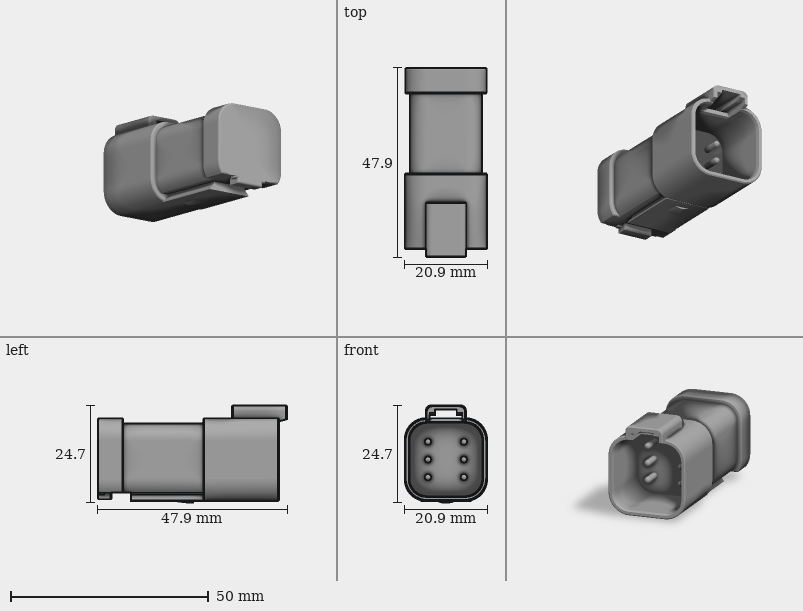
import cadquery as cq
import math


shell_width = 20.9
shell_height = 21.0
shell_corner_radius = 5.6
shell_length = 19.2
shell_edge_chamfer = 0.3
shell_top = shell_height / 2
shell_bottom = -shell_height / 2

wall_thickness = 1.25
cavity_top = shell_top - wall_thickness
cavity_depth = 17.0
lead_in_width = 0.25
lead_in_depth = 0.9
lead_in_blend = 1.0

pin_diameter = 1.6
pin_column_spacing = 9.1
pin_row_pitch = 4.48
pin_columns = 2
pin_rows = 3
pin_tip_y = 11.6

neck_size = 18.3
neck_corner_radius = 4.3
neck_fillet = 0.3

flange_width = 20.7
flange_height = 20.9
flange_corner_radius = 5.3
flange_length = 6.5
flange_rear_fillet = 0.5
flange_front_chamfer = 0.3
rear_y = 45.9
flange_front_y = rear_y - flange_length
flat_z = -8.4

hood_width = 10.2
hood_top = 13.72
hood_front_y = -2.0
hood_rear_y = 11.95
hood_corner_radius = 1.5
hood_end_chamfer = 0.3
hood_wall = 1.0
hood_roof = 1.1
hood_inner_width = hood_width - 2 * hood_wall
hood_lip_z = 10.2
hood_lip_slope = 0.28
shoulder_gap = 5.4
shoulder_front_z = 11.85
shoulder_z = 11.25
slot_end_y = 6.0

rail_width = 12.6
rail_rear_y = 37.5
rail_bottom = shell_bottom - 0.05
rail_edge = 0.25
rail_undercut = 1.35

bump_height = 0.41
bump_radius = 5.0
bump_front_y = 21.7
bump_flat = 1.1
bump_length = 4.4

tab_width = 8.0
tab_front_y = 42.4
tab_bottom = -10.1
tab_chamfer = 0.3
foot_width = 10.0
foot_length = 1.7
foot_bottom = -8.85


def rounded_bar(width, height, radius, y_start, y_end):
    """Bar along Y with a rounded rectangular section."""
    bar = cq.Workplane("XZ", origin=(0, y_start, 0)).rect(width, height).extrude(y_start - y_end)
    return bar.edges("|Y").fillet(radius)


def box(x_size, y_start, y_end, z_start, z_end):
    """Box centred on X = 0."""
    corner = (-x_size / 2, y_start, z_start)
    return cq.Workplane("XY", origin=corner).box(x_size, y_end - y_start, z_end - z_start, centered=False)


def truncate_underside(body):
    """Cut the body flat below the level of the underside flat."""
    return body.cut(box(2 * shell_width, 0, 2 * rear_y, 2 * shell_bottom, flat_z))


def side_prism(points, width):
    """Prism centred on X = 0 with its outline given as (y, z) points."""
    return cq.Workplane("YZ").polyline(points).close().extrude(width / 2, both=True)


def make_shell():
    shell = rounded_bar(shell_width, shell_height, shell_corner_radius, 0, shell_length)
    return shell.faces("<Y or >Y").chamfer(shell_edge_chamfer)


def make_neck():
    """Truncated bar that flares with a fillet where it meets the rear face of the shell."""
    neck = rounded_bar(neck_size, neck_size, neck_corner_radius, shell_length, rear_y)
    plate = box(2 * shell_width, 0, shell_length, -shell_width, shell_width)
    reach = shell_width / 2
    root_edges = cq.selectors.BoxSelector(
        (-reach, shell_length - neck_fillet, -reach),
        (reach, shell_length + neck_fillet, reach),
    )
    neck = neck.union(plate).edges(root_edges).fillet(neck_fillet)
    return truncate_underside(neck.cut(plate))


def make_flange():
    """Truncated flange with a tab and a low foot below it."""
    flange = rounded_bar(flange_width, flange_height, flange_corner_radius, flange_front_y, rear_y)
    flange = truncate_underside(flange)
    tab = box(tab_width, tab_front_y, rear_y, tab_bottom, 0)
    tab = tab.faces("<Y").chamfer(tab_chamfer)
    foot = box(foot_width, rear_y - foot_length, rear_y, foot_bottom, 0)
    flange = flange.union(tab).union(foot)
    flange = flange.faces(">Y").edges().fillet(flange_rear_fillet)
    front_edges = flange.faces(cq.selectors.NearestToPointSelector((0, flange_front_y, 0))).edges()
    return front_edges.chamfer(flange_front_chamfer)


def sloped_relief(front_z, lowest_z, width):
    """Cutter below a ramp that descends from the hood front until it reaches the lowest level."""
    ramp_end_y = hood_front_y + (front_z - lowest_z) / hood_lip_slope
    floor_z = lowest_z - hood_wall
    points = [
        (hood_front_y, front_z),
        (ramp_end_y, lowest_z),
        (ramp_end_y, floor_z),
        (hood_front_y, floor_z),
    ]
    return side_prism(points, width)


def make_hood():
    """Outer form of the hood, with side walls that slope down into the shell."""
    hood = box(hood_width, hood_front_y, hood_rear_y, cavity_top, hood_top)
    hood = hood.edges("|Y and >Z").fillet(hood_corner_radius)
    hood = hood.faces("<Y or >Y").chamfer(hood_end_chamfer)
    return hood.cut(sloped_relief(hood_lip_z, cavity_top, hood_width))


def make_hood_tunnel():
    """Passage under the hood roof, with a shoulder along each upper corner."""
    passage = box(hood_inner_width, hood_front_y, hood_rear_y, shell_top, shoulder_z)
    channel = box(shoulder_gap, hood_front_y, hood_rear_y, shell_top, hood_top - hood_roof)
    ramps = sloped_relief(shoulder_front_z, shoulder_z, hood_inner_width)
    return passage.union(channel).union(ramps)


def make_slot():
    """Notch in the shell wall below the hood, chamfered into the cavity at its inner end."""
    points = [
        (hood_front_y, shell_top),
        (slot_end_y, shell_top),
        (slot_end_y, cavity_top + lead_in_width),
        (slot_end_y + lead_in_depth, cavity_top),
        (hood_front_y, cavity_top),
    ]
    return side_prism(points, hood_inner_width)


def make_cavity():
    """Cavity cutter with a tapered lead-in that blends into its walls."""
    width = shell_width - 2 * wall_thickness
    height = shell_height - 2 * wall_thickness
    radius = shell_corner_radius - wall_thickness
    cavity = rounded_bar(width, height, radius, 0, cavity_depth)
    lead_in_angle = math.degrees(math.atan2(lead_in_width, lead_in_depth))
    sketch = cq.Sketch().rect(width + 2 * lead_in_width, height + 2 * lead_in_width)
    sketch = sketch.vertices().fillet(radius + lead_in_width)
    mouth = cq.Workplane("XZ").placeSketch(sketch).extrude(-lead_in_depth, taper=lead_in_angle)
    cavity = cavity.union(mouth)
    reach = shell_width
    lead_in_end = cq.selectors.BoxSelector(
        (-reach, lead_in_depth - lead_in_width, -reach),
        (reach, lead_in_depth + lead_in_width, reach),
    )
    return cavity.edges(lead_in_end).fillet(lead_in_blend)


def pin_spots(y):
    """Workplane at the given Y with one point for each pin."""
    plane = cq.Workplane("XZ", origin=(0, y, 0))
    return plane.rarray(pin_column_spacing, pin_row_pitch, pin_columns, pin_rows)


def make_pins():
    """Round pins with domed tips, rooted in the floor of the cavity."""
    pin_radius = pin_diameter / 2
    dome_y = pin_tip_y + pin_radius
    shanks = pin_spots(cavity_depth).circle(pin_radius).extrude(cavity_depth - dome_y)
    tips = pin_spots(dome_y).sphere(pin_radius)
    return shanks.union(tips)


def make_rail():
    """Rail with undercut sides, running back from inside the shell."""
    foot = rail_width / 2
    stem = foot - rail_undercut
    edge_z = rail_bottom + rail_edge
    stem_z = edge_z + rail_undercut
    front_y = shell_length - shell_edge_chamfer
    points = [
        (-foot, rail_bottom),
        (foot, rail_bottom),
        (foot, edge_z),
        (stem, stem_z),
        (stem, flat_z),
        (-stem, flat_z),
        (-stem, stem_z),
        (-foot, edge_z),
    ]
    rail = cq.Workplane("XZ", origin=(0, front_y, 0)).polyline(points).close()
    return rail.extrude(front_y - rail_rear_y)


def make_bump():
    """Shallow round-backed bump whose rear end ramps into the rail."""
    lowest_z = rail_bottom - bump_height
    barrel = cq.Workplane("XZ", origin=(0, bump_front_y, lowest_z + bump_radius)).circle(bump_radius)
    barrel = barrel.extrude(-bump_length)
    ramp_points = [
        (bump_front_y, lowest_z),
        (bump_front_y + bump_flat, lowest_z),
        (bump_front_y + bump_length, rail_bottom),
        (bump_front_y + bump_length, rail_bottom + rail_edge),
        (bump_front_y, rail_bottom + rail_edge),
    ]
    return barrel.intersect(side_prism(ramp_points, rail_width))


result = make_shell().union(make_neck())
result = result.union(make_flange()).union(make_rail()).union(make_bump())
result = result.cut(make_cavity()).union(make_hood())
result = result.cut(make_hood_tunnel()).cut(make_slot()).union(make_pins())